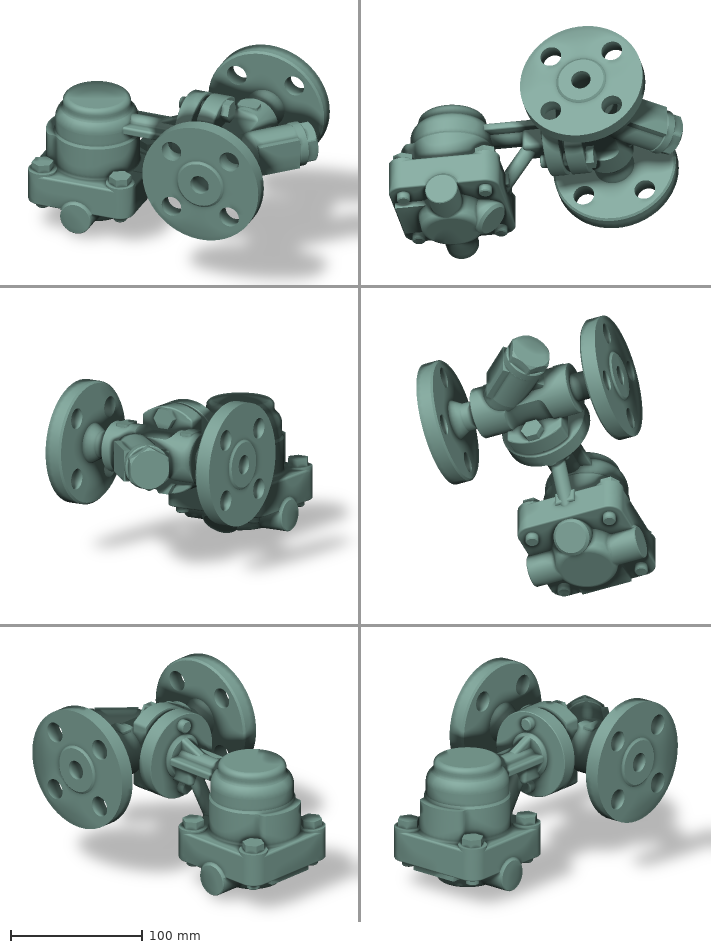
import cadquery as cq
import math


face_to_face = 150.0
flange_diameter = 95.0
flange_thickness = 13.0
flange_back_bevel = 1.5
raised_face_height = 1.5
raised_face_diameter = 35.0
raised_face_base_diameter = 38.6
bolt_circle_diameter = 66.7
flange_bolt_hole = 16.0
flange_bolt_count = 4
first_bolt_angle = 45.0
pipe_diameter = 21.7
pipe_bore = 15.0
hub_diameter = 31.0
hub_length = 8.0

fine_bevel = 0.5

body_diameter = 39.0
body_length = 79.0
body_offset_y = -1.8
waist_half_height = 14.5
waist_width = 23.4
waist_fillet = 5.8
pad_length_x = 16.5
pad_length_y = 10.2
pad_height = 20.0
pad_corner = 2.0
pad_offset_y = 28.7

branch_angle = 45.0
branch_axis_offset = 20.4
branch_diameter = 32.6
branch_start = -7.0
branch_taper_end = 3.6
branch_start_diameter = 29.2
collar_diameter = 34.0
collar_start = 37.5
collar_end = 45.0
collar_bevel = 0.8
cap_across_flats = 30.0
cap_corner_diameter = 34.0
cap_end = 53.0
cap_bevel = 2.0
branch_pad_start = 3.6
branch_pad_end = 37.0
branch_pad_reach = 16.6
branch_pad_height = 24.0
crotch_start = 10.0
crotch_end = 28.5
crotch_reach = 20.5
crotch_height = 16.0

joint_radius = 34.0
joint_spigot_diameter = 35.0
spigot_outer_x = -43.0
spigot_bevel = 2.2
connector_disc_x = -39.5
connector_disc_end_x = -27.2
joint_flange_x = -23.3
joint_flange_end_x = -9.4
joint_flange_width = 44.6
joint_flange_fillet = 1.2
joint_flange_corner = 3.0
joint_bolt_offset = 25.5
joint_bolt_diameter = 10.0
joint_bolt_tip_x = -45.2
bolt_head_corners = 17.0
bolt_head_height = 6.0
bolt_tip_bevel = 0.8

trap_x = -114.0
plate_width = 85.56
plate_corner = 11.0
plate_bottom = -61.2
plate_split = -48.9
plate_top = -36.8
plate_top_fillet = 1.6
plate_bottom_fillet = 1.2
bolt_pad_top = -35.0
trap_bolt_diameter = 10.0
trap_bolt_tip = -66.9
neck_radius = 33.0
neck_top = -11.0
neck_root_fillet = 1.8
lobe_blend = 4.5
lobe_radius = 33.0
lobe_width = 42.0
lobe_corner = 4.5
lobe_reach = 39.2
dome_radius = 31.8
dome_foot = -9.0
dome_shoulder = 0.4
cap_radius = 26.0
cap_top_radius = 22.2
cap_top = 18.8
cap_side_top = 14.5
cap_side_bottom = 12.3
dome_shoulder_mid = (30.6, 5.2)
dome_shoulder_end = (27.4, 9.0)
cap_foot_mid = (26.4, 10.5)
cap_edge_mid = (24.9, 17.3)

cover_bottom = -79.0
cover_top_radius = 26.9
cover_low_radius = 23.7
cover_low = -75.1
cover_bottom_radius = 19.5
cover_edge_mid = (22.5, -77.6)
cover_blend = 2.0
side_boss_diameter = 25.0
side_boss_root_diameter = 28.0
side_boss_length = 89.5
side_boss_z = -66.2
side_boss_bevel = 0.6
ledge_reach = 40.3
ledge_width = 40.0
ledge_bottom = -65.7
outlet_diameter = 28.4
outlet_bevel = 2.2
outlet_centre_x = -82.1
outlet_centre_z = -72.58
outlet_length = 25.0
outlet_angle = 45.0

arm_diameter = 15.6
wing_width = 31.6
wing_top = 3.7
wing_bottom = -2.3
wing_top_fillet = 1.9
wing_bottom_fillet = 1.1
wing_root_fillet = 2.0
rib_width = 7.0
rib_tip_x = -61.3
rib_height = 15.8
rib_fillet = 2.2
return_pipe_diameter = 11.7
return_low = (-78.0, -49.5)
return_high = (-49.0, -6.1)
arm_block_x = -58.2
arm_block_width = 20.0
arm_block_bottom = -17.6
arm_block_fillet = 3.0

pipe_pad_reach = 45.2
pipe_pad_width = 16.0
pipe_pad_bottom = -47.0
pipe_pad_top = -36.0
pipe_pad_fillet = 2.0


def box(x_range, y_range, z_range):
    """Box between pairs of limits on each axis."""
    limits = (x_range, y_range, z_range)
    sizes = [high - low for low, high in limits]
    centre = tuple((low + high) / 2 for low, high in limits)
    return cq.Workplane("XY").box(*sizes).translate(centre)


def rod(diameter, start, end):
    """Round rod between two points."""
    start_point = cq.Vector(*start)
    axis = cq.Vector(*end) - start_point
    return cq.Workplane(cq.Solid.makeCylinder(diameter / 2, axis.Length, start_point, axis))


def x_rod(diameter, start_x, end_x, z=0.0):
    return rod(diameter, (start_x, 0, z), (end_x, 0, z))


def pipe_end():
    """Flange, hub and pipe at the -Y end of the pipeline, turned about the Y axis."""
    face_y = -face_to_face / 2
    front_y = face_y + raised_face_height
    back_y = front_y + flange_thickness
    profile = (
        cq.Workplane("XY")
        .moveTo(0, face_y)
        .lineTo(raised_face_diameter / 2, face_y)
        .lineTo(raised_face_base_diameter / 2, front_y)
        .lineTo(flange_diameter / 2, front_y)
        .lineTo(flange_diameter / 2, back_y - flange_back_bevel)
        .lineTo(flange_diameter / 2 - flange_back_bevel, back_y)
        .lineTo(hub_diameter / 2, back_y)
        .lineTo(pipe_diameter / 2, back_y + hub_length)
        .lineTo(pipe_diameter / 2, 0)
        .lineTo(0, 0)
        .close()
    )
    end = profile.revolve(360, (0, 0, 0), (0, 1, 0))
    for index in range(flange_bolt_count):
        angle = math.radians(first_bolt_angle + index * 360 / flange_bolt_count)
        x = bolt_circle_diameter / 2 * math.cos(angle)
        z = bolt_circle_diameter / 2 * math.sin(angle)
        end = end.cut(rod(flange_bolt_hole, (x, face_y, z), (x, back_y, z)))
    return end


def pipe_bore_cut():
    """Blind bore from the flange face, stopping about where the strainer body begins."""
    return rod(pipe_bore, (0, -face_to_face / 2, 0), (0, -body_length / 2, 0))


def strainer_body():
    """Barrel along Y, flattened above and below at its waist, with raised pads on top."""
    half_length = body_length / 2
    body = rod(body_diameter, (0, -half_length, 0), (0, half_length, 0))
    body = body.faces("<Y or >Y").chamfer(fine_bevel).translate((0, body_offset_y, 0))
    for side in (-1, 1):
        relief_height = body_diameter
        relief = cq.Workplane("XY").box(body_diameter, waist_width + 2 * waist_fillet, relief_height)
        relief = relief.edges("|X").fillet(waist_fillet)
        body = body.cut(relief.translate((0, 0, side * (waist_half_height + relief_height / 2))))
        pad = box(
            (-pad_length_x / 2, pad_length_x / 2),
            (-pad_length_y / 2, pad_length_y / 2),
            (0, pad_height),
        )
        pad = pad.edges("|Z").fillet(pad_corner)
        body = body.union(pad.translate((0, body_offset_y + side * pad_offset_y, 0)))
    return body


def strainer_branch():
    """Inclined strainer barrel with collar, hexagon cap and flat side pad, first built along X."""
    branch = x_rod(branch_diameter, branch_taper_end, collar_start)
    taper = cq.Solid.makeCone(
        branch_start_diameter / 2,
        branch_diameter / 2,
        branch_taper_end - branch_start,
        cq.Vector(branch_start, 0, 0),
        cq.Vector(1, 0, 0),
    )
    branch = branch.union(cq.Workplane(taper))
    collar = x_rod(collar_diameter, collar_start, collar_end).faces("<X or >X").chamfer(collar_bevel)
    branch = branch.union(collar)
    hexagon = (
        cq.Workplane("YZ")
        .polygon(6, cap_across_flats / math.cos(math.pi / 6))
        .extrude(cap_end - branch_start)
        .rotate((0, 0, 0), (1, 0, 0), 90)
        .translate((branch_start, 0, 0))
    )
    limit = x_rod(cap_corner_diameter, collar_start, cap_end).faces(">X").chamfer(cap_bevel)
    branch = branch.union(hexagon.intersect(limit))
    branch = branch.union(
        box(
            (branch_pad_start, branch_pad_end),
            (-branch_pad_reach, 0),
            (-branch_pad_height / 2, branch_pad_height / 2),
        )
    )
    crotch = box(
        (crotch_start, crotch_end),
        (0, crotch_reach),
        (-crotch_height / 2, crotch_height / 2),
    )
    branch = branch.union(crotch)
    return branch.translate((0, -branch_axis_offset, 0)).rotate((0, 0, 0), (0, 0, 1), branch_angle)


def joint_flanges():
    """Round connector disc, flat-sided strainer flange and the spigots between them."""
    disc = x_rod(2 * joint_radius, connector_disc_x, connector_disc_end_x).faces("<X or >X").chamfer(fine_bevel)
    spigot = x_rod(joint_spigot_diameter, spigot_outer_x, 0).faces("<X").chamfer(spigot_bevel)
    spigot = spigot.cut(box((joint_flange_end_x, 0), (-joint_radius, joint_radius), (-joint_radius, joint_radius)))
    flange = x_rod(2 * joint_radius, joint_flange_x, joint_flange_end_x).intersect(
        box(
            (joint_flange_x, joint_flange_end_x),
            (-joint_flange_width / 2, joint_flange_width / 2),
            (-joint_radius, joint_radius),
        )
    )
    flange = flange.edges("|X").fillet(joint_flange_corner)
    flange = flange.faces(">X").edges().fillet(joint_flange_fillet)
    web = box((joint_flange_end_x, 0), (-waist_width / 2, waist_width / 2), (-waist_half_height, waist_half_height))
    return disc.union(spigot).union(flange).union(web)


def hex_head(height):
    """Hexagon bolt head standing on the XY plane, corners along Y."""
    return cq.Workplane("XY").polygon(6, bolt_head_corners).extrude(height).rotate((0, 0, 0), (0, 0, 1), 90)


def joint_bolts():
    bolts = cq.Workplane("XY")
    for side in (-1, 1):
        z = side * joint_bolt_offset
        shank = x_rod(joint_bolt_diameter, joint_bolt_tip_x, joint_flange_end_x, z)
        head = hex_head(bolt_head_height).rotate((0, 0, 0), (0, 1, 0), 90)
        bolts = bolts.add(shank.faces("<X").chamfer(bolt_tip_bevel))
        bolts = bolts.add(head.translate((joint_flange_end_x, 0, z)))
    return bolts.combine()


def trap_bolts():
    """Four corner bolts with raised round pads under their heads."""
    bolts = cq.Workplane("XY")
    offset = plate_width / 2 - plate_corner
    for side_x in (-1, 1):
        for side_y in (-1, 1):
            x = trap_x + side_x * offset
            y = side_y * offset
            shank = rod(trap_bolt_diameter, (x, y, trap_bolt_tip), (x, y, bolt_pad_top))
            bolts = bolts.add(shank.faces("<Z").chamfer(bolt_tip_bevel))
            bolts = bolts.add(rod(2 * plate_corner, (x, y, plate_split), (x, y, bolt_pad_top)))
            bolts = bolts.add(hex_head(bolt_head_height).translate((x, y, bolt_pad_top)))
    return bolts.combine()


def plate_half(bottom, top):
    return (
        cq.Workplane("XY", origin=(trap_x, 0, bottom))
        .rect(plate_width, plate_width)
        .extrude(top - bottom)
        .edges("|Z")
        .fillet(plate_corner)
    )


def trap_plates():
    """Two square plates; the upper one carries a round neck with a lobe bulging towards -X."""
    upper = plate_half(plate_split, plate_top).faces(">Z").edges().fillet(plate_top_fillet)
    lower = plate_half(plate_bottom, plate_split).faces("<Z").edges().fillet(plate_bottom_fillet)
    neck = rod(2 * neck_radius, (trap_x, 0, plate_split), (trap_x, 0, neck_top))
    lobe_x = trap_x - lobe_reach + lobe_radius
    lobe = rod(2 * lobe_radius, (lobe_x, 0, plate_split), (lobe_x, 0, neck_top)).intersect(
        box((trap_x - lobe_reach, trap_x), (-lobe_width / 2, lobe_width / 2), (plate_split, neck_top))
    )
    neck = neck.union(lobe.edges("|Z and (not >X)").fillet(lobe_corner))
    corner_y = lobe_width / 2
    corner_x = math.sqrt(neck_radius**2 - corner_y**2)
    for side in (-1, 1):
        corner = (trap_x - corner_x, side * corner_y, (plate_split + neck_top) / 2)
        neck = neck.edges(cq.NearestToPointSelector(corner)).fillet(lobe_blend)
    upper = upper.union(neck)
    plate_face = upper.faces("|Z").faces(">Z[-2]")
    upper = plate_face.wires(cq.selectors.LengthNthSelector(0)).edges().fillet(neck_root_fillet)
    return upper.union(lower, clean=False)


def trap_dome():
    """Dome above the neck: rounded shoulder below a smaller cap, turned about the trap axis."""
    profile = (
        cq.Workplane("XZ")
        .moveTo(0, plate_split)
        .lineTo(neck_radius - neck_root_fillet, plate_split)
        .lineTo(neck_radius - neck_root_fillet, neck_top)
        .lineTo(neck_radius, neck_top)
        .lineTo(dome_radius, dome_foot)
        .lineTo(dome_radius, dome_shoulder)
        .threePointArc(dome_shoulder_mid, dome_shoulder_end)
        .threePointArc(cap_foot_mid, (cap_radius, cap_side_bottom))
        .lineTo(cap_radius, cap_side_top)
        .threePointArc(cap_edge_mid, (cap_top_radius, cap_top))
        .lineTo(0, cap_top)
        .close()
    )
    return profile.revolve(360, (0, 0, 0), (0, 1, 0)).translate((trap_x, 0, 0))


def side_boss_root(side):
    """Conical collar where a side boss runs into the side of the lower plate."""
    root = cq.Solid.makeCone(
        side_boss_root_diameter / 2,
        side_boss_diameter / 2,
        (side_boss_length - plate_width) / 2 - side_boss_bevel,
        cq.Vector(trap_x, side * plate_width / 2, side_boss_z),
        cq.Vector(0, side, 0),
    )
    above_plate_bottom = box(
        (trap_x - side_boss_root_diameter, trap_x + side_boss_root_diameter),
        (-side_boss_length, side_boss_length),
        (plate_bottom, plate_top),
    )
    return cq.Workplane(root).intersect(above_plate_bottom)


def trap_cover():
    """Tapered bowl under the plates with side bosses, a ledge and an inclined outlet stub."""
    bowl = (
        cq.Workplane("XZ")
        .moveTo(0, plate_split)
        .lineTo(cover_top_radius, plate_split)
        .lineTo(cover_top_radius, plate_bottom)
        .lineTo(cover_low_radius, cover_low)
        .threePointArc(cover_edge_mid, (cover_bottom_radius, cover_bottom))
        .lineTo(0, cover_bottom)
        .close()
        .revolve(360, (0, 0, 0), (0, 1, 0))
        .translate((trap_x, 0, 0))
    )
    half_length = side_boss_length / 2
    boss = rod(side_boss_diameter, (trap_x, -half_length, side_boss_z), (trap_x, half_length, side_boss_z))
    boss = boss.faces("<Y or >Y").chamfer(side_boss_bevel)
    cover = bowl.union(boss).edges("%BSPLINE").fillet(cover_blend)
    for side in (-1, 1):
        cover = cover.union(side_boss_root(side))
    ledge = box(
        (trap_x - ledge_reach, trap_x),
        (-ledge_width / 2, ledge_width / 2),
        (ledge_bottom, plate_split),
    )
    angle = math.radians(outlet_angle)
    inner = (
        outlet_centre_x - outlet_length * math.cos(angle),
        0,
        outlet_centre_z + outlet_length * math.sin(angle),
    )
    outlet = rod(outlet_diameter, inner, (outlet_centre_x, 0, outlet_centre_z))
    outlet = outlet.faces(cq.selectors.DirectionMinMaxSelector(cq.Vector(1, 0, -1))).chamfer(outlet_bevel)
    return cover.union(ledge).union(outlet)


def connector_arm():
    """Winged tube from trap to joint disc, gusset above it and return pipe below it."""
    arm = x_rod(arm_diameter, trap_x, connector_disc_x)
    wings = box((trap_x, spigot_outer_x), (-wing_width / 2, wing_width / 2), (wing_bottom, wing_top))
    wings = wings.edges("|X and >Z").fillet(wing_top_fillet).edges("|X and <Z").fillet(wing_bottom_fillet)
    arm = arm.union(wings)
    root_y = math.sqrt((arm_diameter / 2) ** 2 - wing_top**2)
    for side in (-1, 1):
        root = ((trap_x + spigot_outer_x) / 2, side * root_y, wing_top)
        arm = arm.edges(cq.NearestToPointSelector(root)).fillet(wing_root_fillet)
    rib = (
        cq.Workplane("XZ")
        .moveTo(rib_tip_x, arm_diameter / 2)
        .lineTo(spigot_outer_x, rib_height)
        .lineTo(spigot_outer_x, 0)
        .lineTo(rib_tip_x, 0)
        .close()
        .extrude(rib_width / 2, both=True)
        .faces(cq.selectors.DirectionMinMaxSelector(cq.Vector(-1, 0, 2)))
        .edges("not |Y")
        .fillet(rib_fillet)
    )
    block = box(
        (arm_block_x, connector_disc_x),
        (-arm_block_width / 2, arm_block_width / 2),
        (arm_block_bottom, 0),
    )
    block = block.edges("<X or <Z").edges("not >X").fillet(arm_block_fillet)
    return_pipe = rod(
        return_pipe_diameter,
        (return_low[0], 0, return_low[1]),
        (return_high[0], 0, return_high[1]),
    )
    pipe_pad = box(
        (trap_x, trap_x + pipe_pad_reach),
        (-pipe_pad_width / 2, pipe_pad_width / 2),
        (pipe_pad_bottom, pipe_pad_top),
    )
    pipe_pad = pipe_pad.edges(">X").fillet(pipe_pad_fillet)
    return arm.union(rib).union(block).union(return_pipe).union(pipe_pad)


def build():
    near_end = pipe_end()
    part = near_end.union(near_end.mirror("XZ"))
    for feature in (strainer_body, strainer_branch, joint_flanges, joint_bolts, connector_arm):
        part = part.union(feature())
    for feature in (trap_cover, trap_dome, trap_bolts):
        part = part.union(feature())
    part = part.union(trap_plates(), clean=False)
    bore = pipe_bore_cut()
    return part.cut(bore, clean=False).cut(bore.mirror("XZ"), clean=False)


result = build()